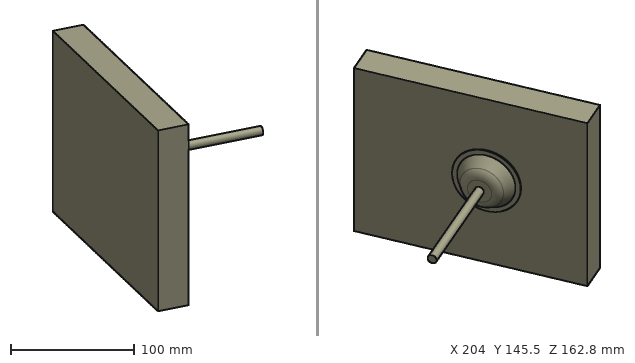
import cadquery as cq

panel_width = 204.0
panel_height = 162.8
panel_thickness = 27.3

mount_x = -14.0
mount_z = 0.8
flange_diameter = 60.0
flange_thickness = 1.2
boss_base_diameter = 51.0
boss_end_diameter = 32.2
boss_length = 14.9
boss_round_radius = 10.0

overall_depth = 145.5
rod_diameter = 8.0

mount_length = flange_thickness + boss_length
rod_length = overall_depth - panel_thickness - mount_length


def plane_on_mount_axis(y):
    """Plane at the given Y, centred on the mount and facing +Y."""
    return cq.Plane(origin=(mount_x, y, mount_z), xDir=(1, 0, 0), normal=(0, 1, 0))


def make_panel():
    return cq.Workplane("XY").box(
        panel_width, panel_thickness, panel_height, centered=(True, False, True)
    )


def make_mount():
    flange = cq.Workplane(plane_on_mount_axis(panel_thickness)).circle(flange_diameter / 2)
    flange = flange.extrude(flange_thickness)

    boss = (
        cq.Workplane(plane_on_mount_axis(panel_thickness + flange_thickness))
        .circle(boss_base_diameter / 2)
        .workplane(offset=boss_length)
        .circle(boss_end_diameter / 2)
        .loft(ruled=True)
        .faces(">Y")
        .edges()
        .fillet(boss_round_radius)
    )
    return flange.union(boss)


def make_rod():
    rod_start = plane_on_mount_axis(panel_thickness + mount_length)
    return cq.Workplane(rod_start).circle(rod_diameter / 2).extrude(rod_length)


panel = make_panel()
mount = make_mount()
rod = make_rod()

result = cq.Compound.makeCompound([panel.val(), mount.val(), rod.val()])